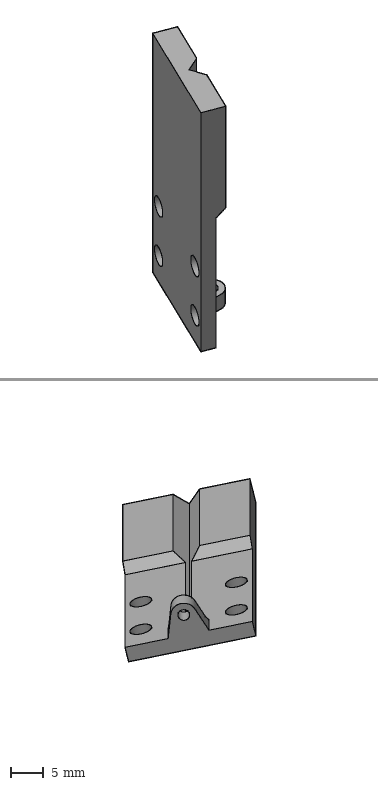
import cadquery as cq
import math

width = 20.0
height = 48.5
plate_thickness = 2.5

pad_thickness = 1.6
pad_bottom = 26.35
pad_face = plate_thickness + pad_thickness

mount_diameter = 3.4
mount_spacing_x = 15.0
mount_spacing_z = 10.0
mount_lowest_z = 5.4

depth = 7.85
lug_height = 3.0
lug_radius = 2.0
lug_hole_diameter = 1.8
lug_base_half_width = 3.2
lug_center_y = depth - lug_radius
lug_ramp_length = 0.95
lug_ramp_rise = 0.82

groove_depth = 2.1
groove_bottom_y = pad_face - groove_depth


def make_plate():
    return cq.Workplane("XY").box(width, plate_thickness, height, centered=(True, False, False))


def make_pad():
    return (
        cq.Workplane("YZ")
        .moveTo(plate_thickness, pad_bottom)
        .lineTo(pad_face, pad_bottom + pad_thickness)
        .lineTo(pad_face, height)
        .lineTo(plate_thickness, height)
        .close()
        .extrude(width / 2, both=True)
    )


def make_mount_holes():
    return (
        cq.Workplane("XZ", origin=(0, 0, mount_lowest_z + mount_spacing_z / 2))
        .rarray(mount_spacing_x, mount_spacing_z, 2, 2)
        .circle(mount_diameter / 2)
        .extrude(-plate_thickness)
    )


def make_groove():
    return (
        cq.Workplane("XY")
        .moveTo(0, groove_bottom_y)
        .lineTo(groove_depth, pad_face)
        .lineTo(-groove_depth, pad_face)
        .close()
        .extrude(height)
    )


def make_lug():
    base_to_center = lug_center_y - plate_thickness
    corner_distance = math.hypot(lug_base_half_width, base_to_center)
    corner_angle = math.atan2(-base_to_center, lug_base_half_width)
    tangent_angle = corner_angle + math.acos(lug_radius / corner_distance)
    tangent_x = lug_radius * math.cos(tangent_angle)
    tangent_y = lug_center_y + lug_radius * math.sin(tangent_angle)
    outline = (
        cq.Workplane("XY")
        .moveTo(-lug_base_half_width, 0)
        .lineTo(lug_base_half_width, 0)
        .lineTo(lug_base_half_width, plate_thickness)
        .lineTo(tangent_x, tangent_y)
        .threePointArc((0, depth), (-tangent_x, tangent_y))
        .lineTo(-lug_base_half_width, plate_thickness)
        .close()
    )
    ramp_start_y = plate_thickness + lug_ramp_length
    inner_y = groove_bottom_y
    inner_z = lug_height + lug_ramp_rise * (ramp_start_y - inner_y) / lug_ramp_length
    side_profile = (
        cq.Workplane("YZ")
        .moveTo(inner_y, 0)
        .lineTo(depth, 0)
        .lineTo(depth, lug_height)
        .lineTo(ramp_start_y, lug_height)
        .lineTo(inner_y, inner_z)
        .close()
        .extrude(lug_base_half_width, both=True)
    )
    hole = (
        cq.Workplane("XY")
        .center(0, lug_center_y)
        .circle(lug_hole_diameter / 2)
        .extrude(lug_height)
    )
    body = outline.extrude(inner_z).intersect(side_profile)
    return body.cut(hole)


body = make_plate().union(make_pad()).cut(make_mount_holes()).cut(make_groove())
result = body.union(make_lug())